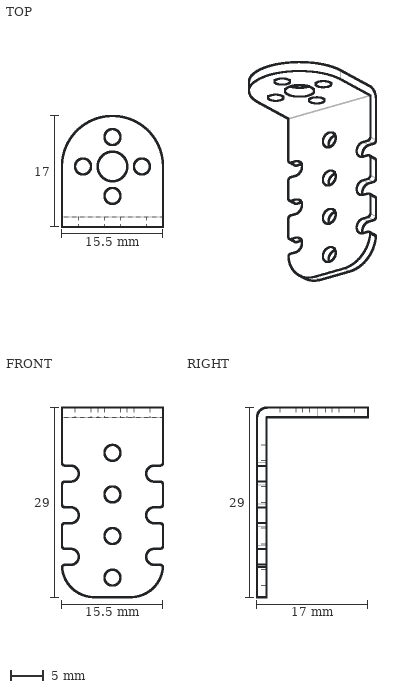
import cadquery as cq

width = 15.5
flange_length = 17.0
height = 29.0
thickness = 1.5
bend_outer_radius = 1.57
bend_inner_radius = bend_outer_radius - thickness

end_radius = width / 2
shaft_hole_diameter = 4.5
screw_hole_diameter = 2.4
screw_circle_diameter = 9.0
screw_hole_count = 4

leg_hole_diameter = 2.4
leg_hole_pitch = 6.35
leg_hole_count = 4
lowest_hole_height = 3.02
slot_width = 2.4
slot_depth = 2.58
slot_mouth_radius = 0.5
leg_corner_radius = 5.0

front_y = -flange_length / 2
end_center_y = flange_length / 2 - end_radius
bottom_z = -height / 2


def bent_strip():
    """L-shaped strip, spanning the full width, with a bend between leg and flange."""
    inner_y = front_y + thickness
    top_z = bottom_z + height
    strip = (
        cq.Workplane("YZ")
        .moveTo(front_y, bottom_z)
        .lineTo(front_y, top_z)
        .lineTo(-front_y, top_z)
        .lineTo(-front_y, top_z - thickness)
        .lineTo(inner_y, top_z - thickness)
        .lineTo(inner_y, bottom_z)
        .close()
        .extrude(width / 2, both=True)
    )
    outer_edge = cq.selectors.NearestToPointSelector((0, front_y, top_z))
    inner_edge = cq.selectors.NearestToPointSelector((0, inner_y, top_z - thickness))
    strip = strip.edges("|X").edges(outer_edge).fillet(bend_outer_radius)
    return strip.edges("|X").edges(inner_edge).fillet(bend_inner_radius)


def flange_outline():
    """Vertical prism that gives the flange its full-round end."""
    return (
        cq.Workplane("XY", origin=(0, 0, bottom_z))
        .moveTo(-end_radius, front_y)
        .lineTo(end_radius, front_y)
        .lineTo(end_radius, end_center_y)
        .threePointArc((0, end_center_y + end_radius), (-end_radius, end_center_y))
        .close()
        .extrude(height)
    )


def flange_holes():
    """Shaft hole with screw holes spaced evenly around it."""
    holes = cq.Workplane("XY", origin=(0, end_center_y, bottom_z + height))
    shaft_hole = holes.circle(shaft_hole_diameter / 2).extrude(-thickness)
    screw_holes = (
        holes.polarArray(screw_circle_diameter / 2, 0, 360, screw_hole_count)
        .circle(screw_hole_diameter / 2)
        .extrude(-thickness)
    )
    return shaft_hole.union(screw_holes)


def leg_outline():
    """Prism along Y with rounded lower corners and softened slots in both side edges."""
    outline = (
        cq.Workplane("XZ", origin=(0, front_y, 0))
        .rect(width, height)
        .extrude(-flange_length)
        .edges("|Y and <Z")
        .fillet(leg_corner_radius)
    )
    for gap in range(leg_hole_count - 1):
        slot_z = bottom_z + lowest_hole_height + (gap + 0.5) * leg_hole_pitch
        for side in (-1, 1):
            outline = outline.cut(edge_slot(side, slot_z))
    return outline


def edge_slot(side, slot_z):
    """Round-ended slot, open at one side edge and flared by its mouth radius."""
    half = slot_width / 2
    edge_x = side * width / 2
    round_x = edge_x - side * (slot_depth - half)
    mouth_x = edge_x - side * slot_mouth_radius
    flare = half + slot_mouth_radius
    return (
        cq.Workplane("XZ", origin=(0, front_y, slot_z))
        .moveTo(edge_x, flare)
        .radiusArc((mouth_x, half), side * slot_mouth_radius)
        .lineTo(round_x, half)
        .threePointArc((round_x - side * half, 0), (round_x, -half))
        .lineTo(mouth_x, -half)
        .radiusArc((edge_x, -flare), side * slot_mouth_radius)
        .close()
        .extrude(-flange_length)
    )


def leg_holes():
    """Row of equally spaced holes up the middle of the leg."""
    heights = [lowest_hole_height + i * leg_hole_pitch for i in range(leg_hole_count)]
    return (
        cq.Workplane("XZ", origin=(0, front_y, bottom_z))
        .pushPoints([(0, z) for z in heights])
        .circle(leg_hole_diameter / 2)
        .extrude(-thickness)
    )


result = (
    bent_strip()
    .intersect(flange_outline())
    .intersect(leg_outline())
    .cut(flange_holes())
    .cut(leg_holes())
)